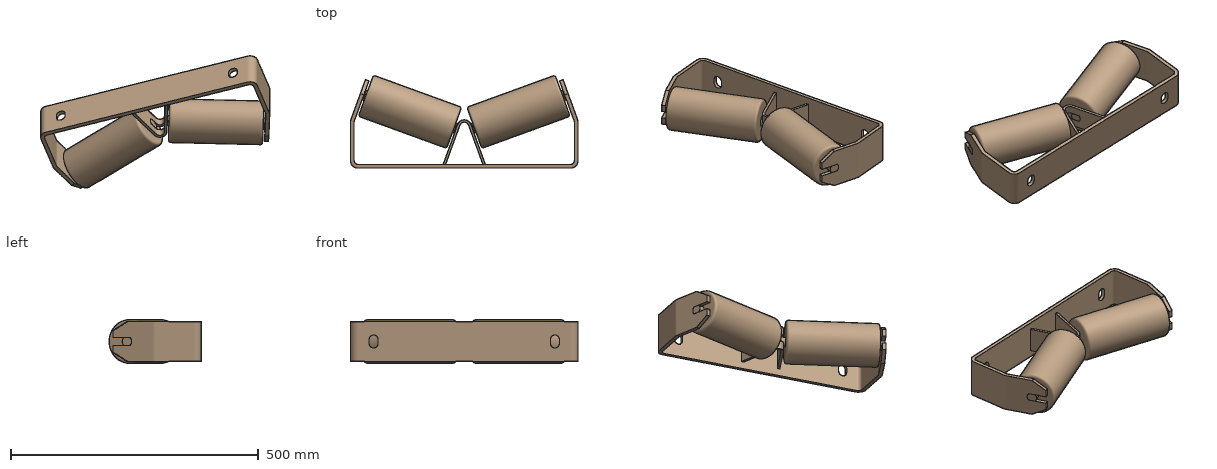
import cadquery as cq
import math


frame_width = 460.0
frame_height = 80.0
plate_thickness = 8.0
tilt = 20.0
bend_height = 95.5
wing_length = 89.0
wing_chamfer_length = 30.0
wing_chamfer_height = 18.0
mount_hole_spacing = 366.0
mount_hole_width = 18.0
mount_hole_height = 26.0

bracket_height = 50.0
bracket_thickness = 5.0
bracket_top = 98.0
bracket_foot_width = 85.5

roller_diameter = 89.0
roller_length = 190.0
roller_edge_radius = 5.0
roller_wing_gap = 4.0
shaft_diameter = 20.2
shaft_flat_width = 15.0
flat_clearance = 1.5
seat_distance = 58.5

tilt_sin = math.sin(math.radians(tilt))
tilt_cos = math.cos(math.radians(tilt))
tilt_tan = tilt_sin / tilt_cos
half_width = frame_width / 2
inner_bend_radius = plate_thickness
outer_bend_radius = inner_bend_radius + plate_thickness
bracket_foot = bracket_foot_width / 2
bracket_apex = plate_thickness + bracket_foot / tilt_tan
bracket_radius = (bracket_apex - bracket_top) / (1 / tilt_sin - 1)
bracket_arc_center = bracket_top - bracket_radius

seat_x = -half_width + seat_distance * tilt_sin
seat_y = bend_height + seat_distance * tilt_cos
leg_distance = -seat_x * tilt_cos - (bracket_apex - seat_y) * tilt_sin
shaft_length = leg_distance + bracket_thickness

seat_plane = cq.Plane(
    origin=(seat_x, seat_y, 0), xDir=(tilt_sin, tilt_cos, 0), normal=(tilt_cos, -tilt_sin, 0)
)


def mirrored(left_solid):
    """The matching right-hand shape."""
    return left_solid.mirror("YZ")


def make_shaft():
    """Left roller shaft, round between its two flatted ends."""
    shaft = cq.Workplane(seat_plane).circle(shaft_diameter / 2).extrude(shaft_length)
    flatted = cq.Workplane(seat_plane).rect(shaft_diameter, shaft_flat_width).extrude(shaft_length)
    round_start = plate_thickness + flat_clearance
    round_length = leg_distance - flat_clearance - round_start
    middle = (
        cq.Workplane(seat_plane)
        .workplane(offset=round_start)
        .circle(shaft_diameter / 2)
        .extrude(round_length)
    )
    return shaft.intersect(flatted).union(middle)


def make_roller(side):
    """Roller with its shaft, on the left for side -1 and on the right for side 1."""
    drum = (
        cq.Workplane(seat_plane)
        .workplane(offset=plate_thickness + roller_wing_gap)
        .circle(roller_diameter / 2)
        .extrude(roller_length)
        .edges("%CIRCLE")
        .fillet(roller_edge_radius)
    )
    left_roller = drum.union(make_shaft())
    return left_roller if side < 0 else mirrored(left_roller)


def slot_cutter(start, depth):
    """Slot for a shaft end: open towards the wing tip, with a round bottom that fits the shaft."""
    plane = cq.Workplane(seat_plane).workplane(offset=start)
    bottom = (
        plane.circle(shaft_diameter / 2)
        .extrude(depth)
        .intersect(plane.rect(shaft_diameter, shaft_flat_width).extrude(depth))
    )
    open_end = plane.center(wing_length / 2, 0).rect(wing_length, shaft_flat_width).extrude(depth)
    return bottom.union(open_end)


def make_half_frame():
    """Left half of the bent plate: base, side and leaning wing."""
    inner_x = -half_width + plate_thickness
    inner_bend_y = bend_height - plate_thickness * math.tan(math.radians(tilt / 2))
    tip_x = -half_width + wing_length * tilt_sin
    tip_y = bend_height + wing_length * tilt_cos
    corners = [
        (0, 0),
        (-half_width, 0),
        (-half_width, bend_height),
        (tip_x, tip_y),
        (tip_x + plate_thickness * tilt_cos, tip_y - plate_thickness * tilt_sin),
        (inner_x, inner_bend_y),
        (inner_x, plate_thickness),
        (0, plate_thickness),
    ]
    plate = cq.Workplane("XY").polyline(corners).close().extrude(frame_height / 2, both=True)

    bends = [
        (corners[1], outer_bend_radius),
        (corners[2], outer_bend_radius),
        (corners[5], inner_bend_radius),
        (corners[6], inner_bend_radius),
    ]
    for corner, radius in bends:
        plate = plate.edges(cq.selectors.NearestToPointSelector((*corner, 0))).fillet(radius)

    tip = wing_length - seat_distance
    for side in (1, -1):
        edge = side * frame_height / 2
        clipped_corner = (
            cq.Workplane(seat_plane)
            .moveTo(tip, edge)
            .lineTo(tip - wing_chamfer_length, edge)
            .lineTo(tip, edge - side * wing_chamfer_height)
            .close()
            .extrude(plate_thickness)
        )
        plate = plate.cut(clipped_corner)
    return plate.cut(slot_cutter(0, plate_thickness))


def make_frame():
    left = make_half_frame()
    mount_holes = (
        cq.Workplane("XZ")
        .pushPoints([(-mount_hole_spacing / 2, 0), (mount_hole_spacing / 2, 0)])
        .slot2D(mount_hole_height, mount_hole_width, 90)
        .extrude(-plate_thickness)
    )
    return left.union(mirrored(left)).cut(mount_holes)


def bracket_block(inset):
    """Solid arch whose legs and crown lie inset from the outer faces of the bracket."""
    radius = bracket_radius - inset
    foot = bracket_foot - inset / tilt_cos
    tangent_x = radius * tilt_cos
    tangent_y = bracket_arc_center + radius * tilt_sin
    return (
        cq.Workplane("XY")
        .moveTo(-foot, plate_thickness)
        .lineTo(-tangent_x, tangent_y)
        .threePointArc((0, bracket_arc_center + radius), (tangent_x, tangent_y))
        .lineTo(foot, plate_thickness)
        .close()
        .extrude(bracket_height / 2, both=True)
    )


def make_bracket():
    """Arched middle support, slotted through its crown for both inner shaft ends."""
    arch = bracket_block(0).cut(bracket_block(bracket_thickness))
    left_slot = slot_cutter(leg_distance, bracket_radius)
    return arch.cut(left_slot).cut(mirrored(left_slot))


frame = make_frame()
bracket = make_bracket()
rollers = [make_roller(side) for side in (-1, 1)]

result = cq.Compound.makeCompound(
    [frame.val(), bracket.val(), *[roller.val() for roller in rollers]]
)